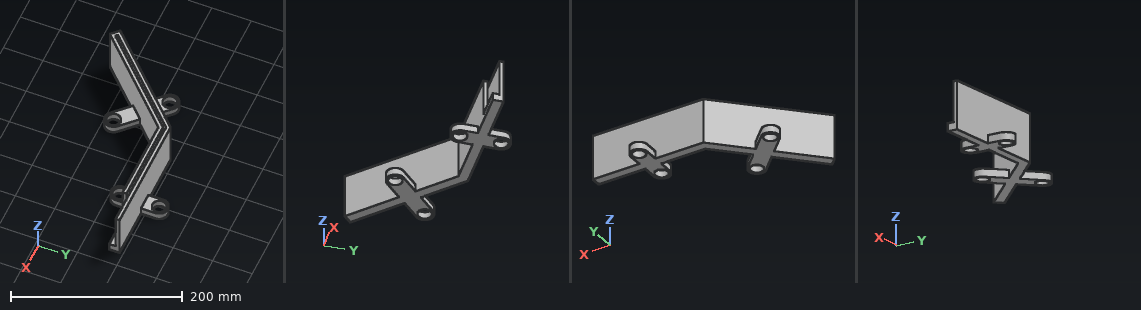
import cadquery as cq
import math

wall_height = 60.0
wall_skin = 5.0
slot_width = 3.2
slot_leg = 150.0
bend_angle = 45.0
base_height = 10.0
notch_length = 40.0

half_bend_tangent = math.tan(math.radians(bend_angle / 2))
cos_bend = math.cos(math.radians(bend_angle))
sin_bend = math.sin(math.radians(bend_angle))

tab_width = 22.0
straight_hole_spacing = 50.0
angled_hole_spacing = straight_hole_spacing / cos_bend
hole_diameter = 17.0
straight_tab_from_end = 75.0
angled_tab_from_bend = 71.5

wall_thickness = 2 * wall_skin + slot_width


def point_on_angled_leg(along, depth):
    """Point a distance along the angled leg from the outer slot corner (the origin),
    at a depth measured inward from the slot's outer edge."""
    return (-along * cos_bend + depth * sin_bend, -along * sin_bend - depth * cos_bend)


def bent_strip(outer_depth, inner_depth, angled_end, bottom, top):
    """Bent strip between two depths, running to the open end of the straight leg."""
    outline = [
        (slot_leg, -outer_depth),
        (outer_depth * half_bend_tangent, -outer_depth),
        point_on_angled_leg(angled_end, outer_depth),
        point_on_angled_leg(angled_end, inner_depth),
        (inner_depth * half_bend_tangent, -inner_depth),
        (slot_leg, -inner_depth),
    ]
    strip = cq.Workplane("XY").workplane(offset=bottom).polyline(outline).close()
    return strip.extrude(top - bottom)


def mounting_tab(center, angle, hole_spacing):
    """Round-ended tab with a hole at each end, crossing a leg that runs at the given angle."""
    tab = cq.Workplane("XY").slot2D(hole_spacing + tab_width, tab_width, 90).extrude(base_height)
    holes = (
        cq.Workplane("XY")
        .pushPoints([(0, -hole_spacing / 2), (0, hole_spacing / 2)])
        .circle(hole_diameter / 2)
        .extrude(base_height)
    )
    return tab.cut(holes).rotate((0, 0, 0), (0, 0, 1), angle).translate((*center, 0))


mid_depth = slot_width / 2
tab_places = [
    ((slot_leg - straight_tab_from_end, -mid_depth), 0, straight_hole_spacing),
    (point_on_angled_leg(angled_tab_from_bend, mid_depth), bend_angle, angled_hole_spacing),
]

wall = bent_strip(-wall_skin, wall_thickness - wall_skin, slot_leg + wall_skin, 0, wall_height)
slot = bent_strip(0, slot_width, slot_leg, base_height, wall_height)
result = wall.cut(slot)

notch = cq.Workplane("XY").box(
    notch_length, wall_thickness - wall_skin, wall_height - base_height, centered=False
)
notch_corner = (slot_leg - notch_length, wall_skin - wall_thickness, base_height)
result = result.cut(notch.translate(notch_corner))

for center, angle, hole_spacing in tab_places:
    result = result.union(mounting_tab(center, angle, hole_spacing))